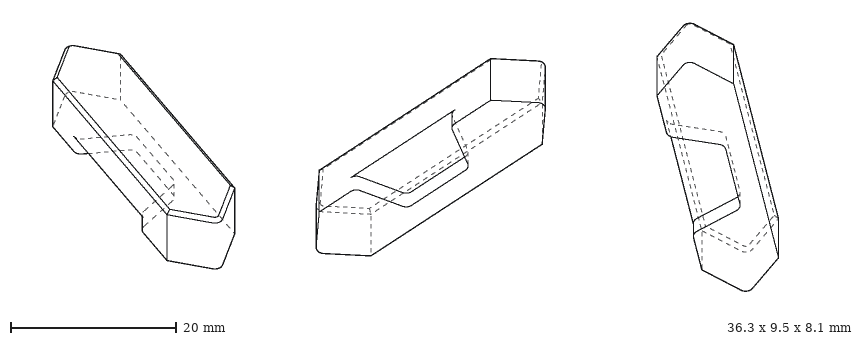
import cadquery as cq
import math

LENGTH = 36.26
WIDTH = 9.5
HEIGHT = 8.1
TIP_RADIUS = 1.0
END_HALF_ANGLE = 45.0
TOP_CHAMFER = 0.5

RECESS_CENTER_X = -0.34
RECESS_MOUTH_WIDTH = 16.75
RECESS_BACK_WIDTH = 8.65
RECESS_HEIGHT = 2.5
RECESS_WALL_ANGLE = 22.5
RECESS_CORNER_RADIUS = 1.0


def make_body():
    half_angle = math.radians(END_HALF_ANGLE)
    half_width = WIDTH / 2
    sharp_tip_x = LENGTH / 2 + TIP_RADIUS * (1 / math.sin(half_angle) - 1)
    shoulder_x = sharp_tip_x - half_width / math.tan(half_angle)
    outline = [
        (-sharp_tip_x, 0),
        (-shoulder_x, -half_width),
        (shoulder_x, -half_width),
        (sharp_tip_x, 0),
        (shoulder_x, half_width),
        (-shoulder_x, half_width),
    ]
    bar = cq.Workplane("XY").polyline(outline).close().extrude(HEIGHT)
    tip_edges = bar.edges("|Z").edges("<X or >X")
    return tip_edges.fillet(TIP_RADIUS).faces(">Z").chamfer(TOP_CHAMFER)


def make_recess():
    wall_angle = math.radians(RECESS_WALL_ANGLE)
    round_x = RECESS_CORNER_RADIUS * math.cos(wall_angle)
    round_y = RECESS_CORNER_RADIUS * (1 - math.sin(wall_angle))
    half_turn = (math.pi / 2 - wall_angle) / 2
    middle_x = RECESS_CORNER_RADIUS * math.sin(half_turn)
    middle_y = RECESS_CORNER_RADIUS * (1 - math.cos(half_turn))

    mouth_x = RECESS_MOUTH_WIDTH / 2
    back_x = RECESS_BACK_WIDTH / 2
    mouth_y = -WIDTH / 2
    wall_run = mouth_x - back_x - 2 * round_x
    back_y = mouth_y + 2 * round_y + wall_run / math.tan(wall_angle)

    return (
        cq.Workplane("XY")
        .center(RECESS_CENTER_X, 0)
        .moveTo(-mouth_x, mouth_y)
        .lineTo(mouth_x, mouth_y)
        .threePointArc((mouth_x - middle_x, mouth_y + middle_y), (mouth_x - round_x, mouth_y + round_y))
        .lineTo(back_x + round_x, back_y - round_y)
        .threePointArc((back_x + middle_x, back_y - middle_y), (back_x, back_y))
        .lineTo(-back_x, back_y)
        .threePointArc((-back_x - middle_x, back_y - middle_y), (-back_x - round_x, back_y - round_y))
        .lineTo(-mouth_x + round_x, mouth_y + round_y)
        .threePointArc((-mouth_x + middle_x, mouth_y + middle_y), (-mouth_x, mouth_y))
        .close()
        .extrude(RECESS_HEIGHT)
    )


result = make_body().cut(make_recess())